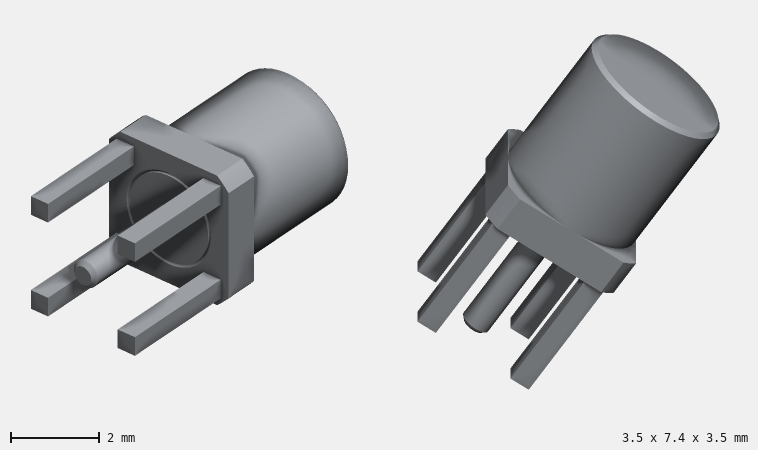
import cadquery as cq

total_length = 7.4
body_width = 3.5
pin_length = 3.05
base_thickness = 0.9
base_corner_radius = 2.25

barrel_length = total_length - pin_length - base_thickness
barrel_chamfer = 0.1

leg_width = 0.5
leg_spacing = 2.54

center_pin_diameter = 0.695
center_pin_chamfer = 0.1

insulator_diameter = 2.31
groove_diameter = 2.46


def plane_at(y):
    """XZ plane at the given Y, with its normal pointing to -Y."""
    return cq.Workplane("XZ", origin=(0, y, 0))


def make_base():
    square = plane_at(0).rect(body_width, body_width).extrude(-base_thickness)
    disc = plane_at(0).circle(base_corner_radius).extrude(-base_thickness)
    return square.intersect(disc)


def make_barrel():
    barrel = plane_at(base_thickness).circle(body_width / 2).extrude(-barrel_length)
    return barrel.faces(">Y").chamfer(barrel_chamfer)


def make_insulator_groove():
    """Ring with a straight inner wall and a 45 degree outer wall meeting at its bottom."""
    mouth_radius = groove_diameter / 2
    insulator_radius = insulator_diameter / 2
    depth = mouth_radius - insulator_radius
    profile = [(insulator_radius, 0), (mouth_radius, 0), (insulator_radius, depth)]
    return cq.Workplane("XY").polyline(profile).close().revolve(360, (0, 0, 0), (0, 1, 0))


def make_legs():
    leg_centers = plane_at(0).rect(leg_spacing, leg_spacing, forConstruction=True).vertices()
    return leg_centers.rect(leg_width, leg_width).extrude(pin_length)


def make_center_pin():
    pin = plane_at(0).circle(center_pin_diameter / 2).extrude(pin_length)
    return pin.faces("<Y").chamfer(center_pin_chamfer)


body = make_base().union(make_barrel()).cut(make_insulator_groove())
result = body.union(make_legs()).union(make_center_pin())